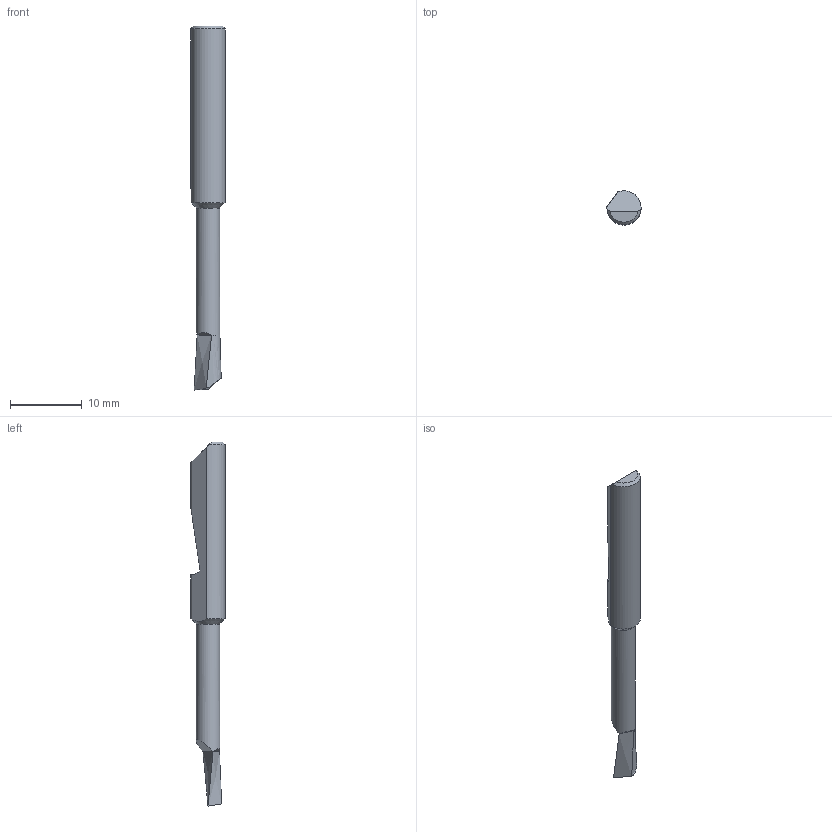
import cadquery as cq
import math


TOTAL_LENGTH = 50.8
SHANK_RADIUS = 4.76 / 2
NECK_RADIUS = 1.67
NECK_TOP = TOTAL_LENGTH / 2
END_CHAMFER = 0.37

FLAT_DIRECTION = 143
FLAT_DISTANCE = 2.02
END_BEVEL_Y = -0.52
NOTCH_TOP = 41.6
NOTCH_FLOOR_Y = 1.11
NOTCH_FLOOR_Z = 32.8
NOTCH_BOTTOM = 32.25
NOTCH_WALL_MIDDLE = (1.65, 32.42)

HEAD_TOP = 7.62
TIP_RADIUS = 1.93
ROOT_TURN = 25
TIP_TURN = 0
FLANK_SPAN = 82
END_SLOPE = 0.06
CLEARANCE_SLOPE = 0.1
CORNER_START_X = 0.1
CORNER_SLOPE = 0.9

REACH = 2 * SHANK_RADIUS


def revolved_blank():
    """Shank with chamfered end, 45 degree cone and neck."""
    cone_top = NECK_TOP + SHANK_RADIUS - NECK_RADIUS
    return (
        cq.Workplane("YZ")
        .moveTo(0, HEAD_TOP)
        .lineTo(-NECK_RADIUS, HEAD_TOP)
        .lineTo(-NECK_RADIUS, NECK_TOP)
        .lineTo(-SHANK_RADIUS, cone_top)
        .lineTo(-SHANK_RADIUS, TOTAL_LENGTH - END_CHAMFER)
        .lineTo(END_CHAMFER - SHANK_RADIUS, TOTAL_LENGTH)
        .lineTo(0, TOTAL_LENGTH)
        .close()
        .revolve(360, (0, 0), (0, 1))
    )


def side_flat():
    """Block that leaves the flat along the whole shank."""
    return (
        cq.Workplane("XY", origin=(0, 0, NECK_TOP))
        .center(FLAT_DISTANCE + REACH / 2, 0)
        .rect(REACH, 2 * REACH)
        .extrude(TOTAL_LENGTH - NECK_TOP)
        .rotate((0, 0, 0), (0, 0, 1), FLAT_DIRECTION)
    )


def end_bevel():
    """Wedge that slopes the +Y half of the shank end at 45 degrees."""
    return (
        cq.Workplane("YZ")
        .moveTo(END_BEVEL_Y, TOTAL_LENGTH)
        .lineTo(END_BEVEL_Y + REACH, TOTAL_LENGTH)
        .lineTo(END_BEVEL_Y + REACH, TOTAL_LENGTH - REACH)
        .close()
        .extrude(REACH, both=True)
    )


def clamping_notch():
    """Ramp on the +Y side, closed below by a rounded wall."""
    return (
        cq.Workplane("YZ")
        .moveTo(SHANK_RADIUS, NOTCH_TOP)
        .lineTo(NOTCH_FLOOR_Y, NOTCH_FLOOR_Z)
        .threePointArc(NOTCH_WALL_MIDDLE, (SHANK_RADIUS, NOTCH_BOTTOM))
        .lineTo(REACH, NOTCH_BOTTOM)
        .lineTo(REACH, NOTCH_TOP)
        .close()
        .extrude(REACH, both=True)
    )


def neck_shoulder(direction, distance):
    """Wedge that ends the neck at 45 degrees, rising outwards from a chord of its section."""
    return (
        cq.Workplane("XZ")
        .moveTo(distance, HEAD_TOP)
        .lineTo(distance + REACH, HEAD_TOP)
        .lineTo(distance + REACH, HEAD_TOP + REACH)
        .close()
        .extrude(REACH, both=True)
        .rotate((0, 0, 0), (0, 0, 1), direction)
    )


def head_section(z, radius, turn):
    """Half disc with a rake chord through the axis and a flank chord beside it."""
    def rim(angle):
        a = math.radians(angle + turn)
        return (radius * math.cos(a), radius * math.sin(a))

    flank_end = 180 + FLANK_SPAN
    return (
        cq.Workplane("XY", origin=(0, 0, z))
        .moveTo(*rim(0))
        .lineTo(*rim(180))
        .lineTo(*rim(flank_end))
        .threePointArc(rim((flank_end + 360) / 2), rim(360))
        .close()
        .val()
    )


def slope_cutter(x, z, slope):
    """Body below the plane through (x, 0, z) that rises along X by slope and along -Y by the clearance."""
    normal = cq.Vector(-slope, CLEARANCE_SLOPE, 1)
    plane = cq.Plane(origin=(x, 0, z), xDir=(1, 0, slope), normal=normal)
    return cq.Workplane(plane).rect(2 * REACH, 2 * REACH).extrude(-REACH)


def cutting_head():
    """Twisted, flaring head with a relieved end face and a sloping corner."""
    tip = head_section(0, TIP_RADIUS, TIP_TURN)
    root = head_section(HEAD_TOP, NECK_RADIUS, ROOT_TURN)
    head = cq.Workplane(cq.Solid.makeLoft([tip, root], True))
    corner_z = END_SLOPE * (CORNER_START_X + TIP_RADIUS)
    head = head.cut(slope_cutter(-TIP_RADIUS, 0, END_SLOPE))
    return head.cut(slope_cutter(CORNER_START_X, corner_z, CORNER_SLOPE))


rake_direction = 90 + ROOT_TURN
flank_direction = 180 + FLANK_SPAN / 2 + ROOT_TURN
flank_distance = NECK_RADIUS * math.cos(math.radians(FLANK_SPAN / 2))

bar = revolved_blank().cut(side_flat()).cut(end_bevel()).cut(clamping_notch())
bar = bar.cut(neck_shoulder(rake_direction, 0))
bar = bar.cut(neck_shoulder(flank_direction, flank_distance))
result = bar.union(cutting_head())